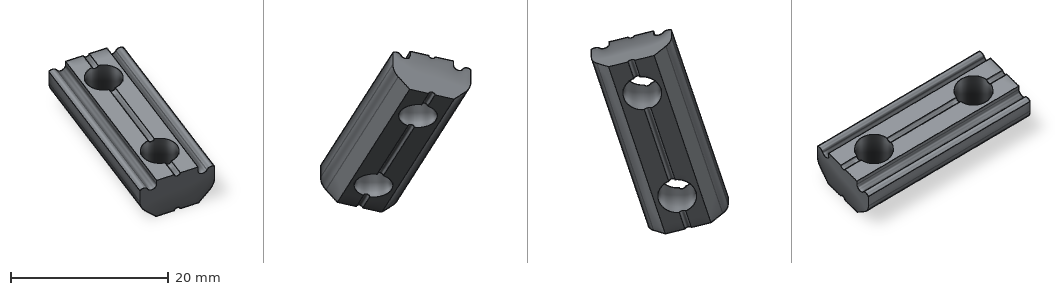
import cadquery as cq
import math

length = 26.0
width = 10.6
height = 6.0
half_width = width / 2

half_land = 2.95
half_base = 3.02
flank_radius = 2.5

channel_radius = 0.68
channel_floor = 4.7
lip_top = 5.4

groove_width = 0.85
groove_depth = 0.35

hole_diameter = 4.91
hole_spacing = 16.0

channel_y = half_land + channel_radius
channel_z = channel_floor + channel_radius
lip_z = lip_top - channel_radius
lip_y = channel_y + math.sqrt((2 * channel_radius) ** 2 - (channel_z - lip_z) ** 2)
meeting_y = (channel_y + lip_y) / 2
meeting_z = (channel_z + lip_z) / 2
lip_edge_z = lip_z + math.sqrt(channel_radius**2 - (half_width - lip_y) ** 2)

diagonal = math.sqrt(0.5)
flank_corner_z = half_width - half_base
flank_z = flank_corner_z + flank_radius * math.tan(math.pi / 8)
flank_y = half_width - flank_radius


def half_profile():
    """Closed +Y half of the cross-section, as (Y, Z) points, without the centre grooves."""
    return (
        cq.Workplane("YZ")
        .moveTo(0, 0)
        .lineTo(0, height)
        .lineTo(half_land, height)
        .lineTo(half_land, channel_z)
        .threePointArc((channel_y, channel_floor), (meeting_y, meeting_z))
        .threePointArc((lip_y, lip_top), (half_width, lip_edge_z))
        .lineTo(half_width, flank_z)
        .radiusArc(
            (flank_y + flank_radius * diagonal, flank_z - flank_radius * diagonal),
            flank_radius,
        )
        .lineTo(half_base, 0)
        .close()
    )


def centre_groove(face_z, inward):
    """Round groove along X; inward is +1 or -1, the Z direction into the body."""
    half_groove = groove_width / 2
    return (
        cq.Workplane("YZ")
        .moveTo(-half_groove, face_z)
        .threePointArc((0, face_z + inward * groove_depth), (half_groove, face_z))
        .close()
        .extrude(length)
    )


half_body = half_profile().extrude(length)
body = half_body.union(half_body.mirror("XZ")).clean()
body = body.cut(centre_groove(height, -1)).cut(centre_groove(0, 1))

hole_centres = [(length / 2 + side * hole_spacing / 2, 0) for side in (-1, 1)]
holes = cq.Workplane("XY").pushPoints(hole_centres).circle(hole_diameter / 2).extrude(height)

result = body.cut(holes)